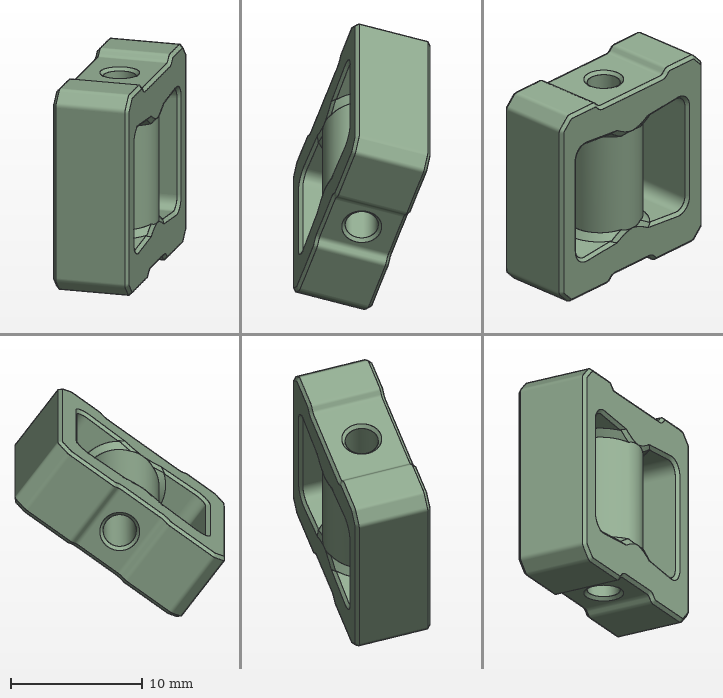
import cadquery as cq
import math

width_x = 6.0
length_y = 15.8
height_z = 16.0
half_y = length_y / 2
half_z = height_z / 2
corner_cut = 1.0
outline_radius = 0.5
edge_bevel = 0.25

recess_depth = 0.5
top_recess_floor = 7.0
bottom_recess_floor = 4.1

window_half_y = 6.11
window_corner_half_z = 4.95
window_radius = 1.0
slope_angle = math.radians(5)
window_middle_half_z = window_corner_half_z - window_half_y * math.tan(slope_angle)

post_radius = width_x / 2
flare = 0.5
flare_inner_radius = 2.24
flare_overlap = 0.96

bore_diameter = 2.53
bore_bevel = 0.25


def block_outline():
    """Closed (y, z) corners of the block, without roundings."""
    top_floor = top_recess_floor / 2
    bottom_floor = bottom_recess_floor / 2
    right_side = [
        (bottom_floor, -half_z + recess_depth),
        (bottom_floor + recess_depth, -half_z),
        (half_y - corner_cut, -half_z),
        (half_y, -half_z + corner_cut),
        (half_y, half_z - corner_cut),
        (half_y - corner_cut, half_z),
        (top_floor + recess_depth, half_z),
        (top_floor, half_z - recess_depth),
    ]
    return right_side + [(-y, z) for y, z in reversed(right_side)]


def prism(points, depth):
    """Extrude a closed (y, z) outline along X, centred on X = 0."""
    return cq.Workplane("YZ").polyline(points).close().extrude(depth / 2, both=True)


def make_block():
    """Block with rounded outline corners, solid inside."""
    return prism(block_outline(), width_x).edges("|X").fillet(outline_radius)


def make_window():
    """Window space with rounded corners, pinched towards Y = 0."""
    y = window_half_y
    z = window_corner_half_z
    outline = [(y, -z), (y, z), (0, window_middle_half_z), (-y, z), (-y, -z), (0, -window_middle_half_z)]
    return prism(outline, width_x).edges("|X").edges(">Y or <Y").fillet(window_radius)


def tilted_ellipse(radius, middle_z):
    """Wire on a plane parallel to the +Y window ceiling, a circle when seen along Z."""
    plane = cq.Plane(
        origin=(0, 0, middle_z),
        xDir=(1, 0, 0),
        normal=(0, -math.sin(slope_angle), math.cos(slope_angle)),
    )
    return cq.Workplane(plane).ellipse(radius, radius / math.cos(slope_angle)).val()


def make_flares():
    """Four half cones, one for each sloping face of the window.

    They taper on inside the post and reach into the block. The edges at the
    block's X faces are bevelled here, so that they meet the bevelled window.
    """
    rim_radius = post_radius + flare
    inner = tilted_ellipse(flare_inner_radius, window_middle_half_z - rim_radius + flare_inner_radius)
    outer = tilted_ellipse(rim_radius + flare_overlap, window_middle_half_z + flare_overlap)
    cone = cq.Workplane(cq.Solid.makeLoft([inner, outer], True))
    half_space = cq.Workplane("XY").box(height_z, half_y, height_z, centered=(True, False, True))
    half_cone = cone.intersect(half_space)
    upper = half_cone.union(half_cone.mirror("XZ"))
    upper = upper.intersect(cq.Workplane("XY").box(width_x, length_y, height_z))
    upper = upper.faces("<X or >X").edges("%BSPLINE").chamfer(edge_bevel)
    return upper.union(upper.mirror("XY"))


def make_post():
    """Round post reaching into the block at both ends."""
    post_length = height_z - 4 * recess_depth
    return cq.Workplane("XY", origin=(0, 0, -post_length / 2)).circle(post_radius).extrude(post_length)


def make_bore():
    """Through bore, bevelled at both recess floors."""
    floor_z = half_z - recess_depth
    radius = bore_diameter / 2
    profile = [
        (0, -floor_z),
        (radius + bore_bevel, -floor_z),
        (radius, -floor_z + bore_bevel),
        (radius, floor_z - bore_bevel),
        (radius + bore_bevel, floor_z),
        (0, floor_z),
    ]
    return cq.Workplane("XZ").polyline(profile).close().revolve(360, (0, 0), (0, 1))


frame = make_block().cut(make_window()).faces("<X or >X").edges().chamfer(edge_bevel)
result = frame.union(make_flares()).union(make_post()).cut(make_bore())